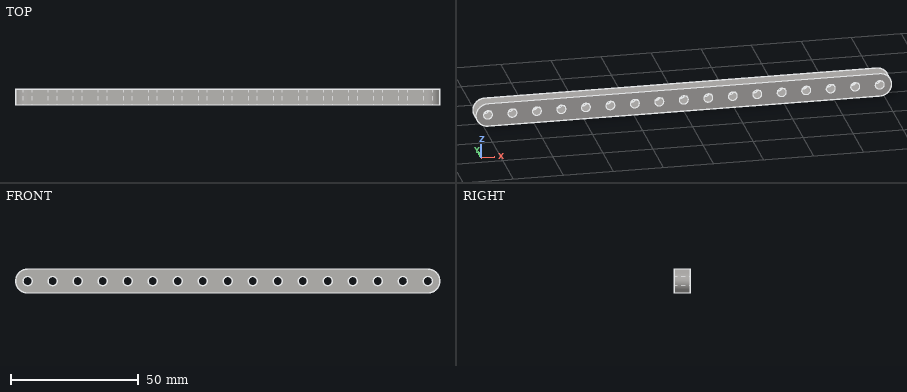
import cadquery as cq

length = 166.0
thickness = 6.3
height = 9.5

hole_count = 17
hole_diameter = 3.5
hole_pitch = (length - height) / (hole_count - 1)

bar = cq.Workplane("XZ").slot2D(length, height).extrude(thickness / 2, both=True)

holes = (
    cq.Workplane("XZ")
    .rarray(hole_pitch, 1.7, hole_count, 1)
    .circle(hole_diameter / 2)
    .extrude(thickness, both=True)
)

result = bar.cut(holes)